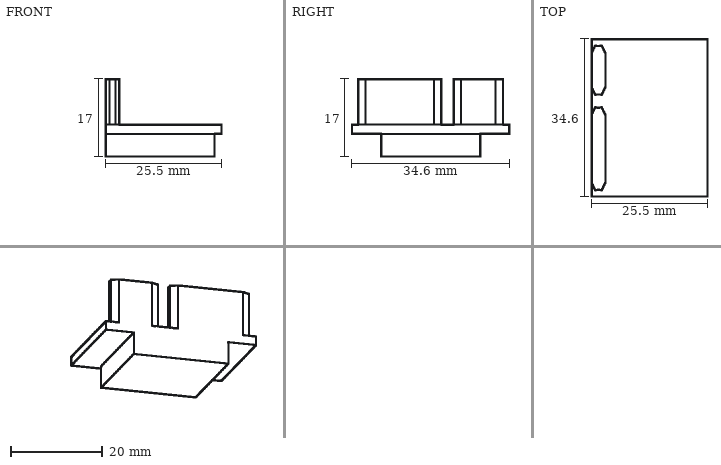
import cadquery as cq

plate_length = 25.5
plate_width = 34.6
plate_thickness = 2.0

block_length = 23.95
block_width = 21.8
block_height = 4.98

blade_height = 10.0
blade_thickness = 3.0
blade_edge_margin = 1.4
short_blade_length = 10.85
long_blade_length = 18.27

taper_length = 1.65
tip_width = 1.4
tip_hollow = 0.15

plate_top = block_height + plate_thickness


def make_blade(y_min, length):
    """Upright blade from y_min to y_min + length, standing on the plate."""
    y_max = y_min + length
    x_mid = blade_thickness / 2
    tip_left = x_mid - tip_width / 2
    tip_right = x_mid + tip_width / 2
    return (
        cq.Workplane("XY", origin=(0, 0, plate_top))
        .moveTo(0, y_min + taper_length)
        .lineTo(tip_left, y_min)
        .threePointArc((x_mid, y_min + tip_hollow), (tip_right, y_min))
        .lineTo(blade_thickness, y_min + taper_length)
        .lineTo(blade_thickness, y_max - taper_length)
        .lineTo(tip_right, y_max)
        .threePointArc((x_mid, y_max - tip_hollow), (tip_left, y_max))
        .lineTo(0, y_max - taper_length)
        .close()
        .extrude(blade_height)
    )


block = cq.Workplane("XY").box(block_length, block_width, block_height, centered=(False, True, False))
plate = (
    cq.Workplane("XY", origin=(0, 0, block_height))
    .box(plate_length, plate_width, plate_thickness, centered=(False, True, False))
)

long_blade_start = -plate_width / 2 + blade_edge_margin
short_blade_start = plate_width / 2 - blade_edge_margin - short_blade_length

result = (
    block.union(plate)
    .union(make_blade(long_blade_start, long_blade_length))
    .union(make_blade(short_blade_start, short_blade_length))
)